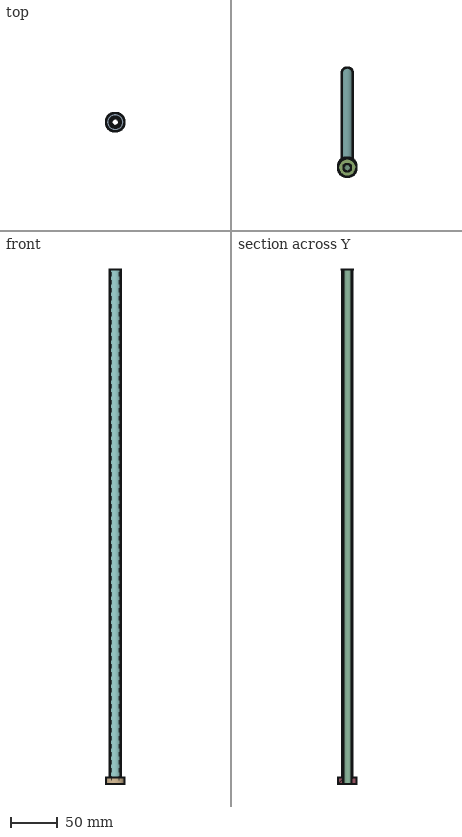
import cadquery as cq

total_length = 550.0
head_diameter = 20.0
head_height = 7.0
tube_diameter = 12.0
bore_diameter = 8.2
neck_fillet = 0.7

pick_margin = 0.1


def make_head():
    """Round head at the lower end of the sleeve."""
    return cq.Workplane("XY").circle(head_diameter / 2).extrude(head_height)


def make_tube():
    """Long outer cylinder running the full length of the sleeve."""
    return cq.Workplane("XY").circle(tube_diameter / 2).extrude(total_length)


def make_bore():
    """Axial bore passing right through the sleeve."""
    return cq.Workplane("XY").circle(bore_diameter / 2).extrude(total_length)


def round_neck(body):
    """Fillet the inside corner between the tube and the top of the head."""
    reach = tube_diameter / 2 + pick_margin
    neck_zone = cq.selectors.BoxSelector(
        (-reach, -reach, head_height - pick_margin),
        (reach, reach, head_height + pick_margin),
        boundingbox=True,
    )
    return body.edges(neck_zone).fillet(neck_fillet)


sleeve = make_head().union(make_tube())
result = round_neck(sleeve).cut(make_bore())